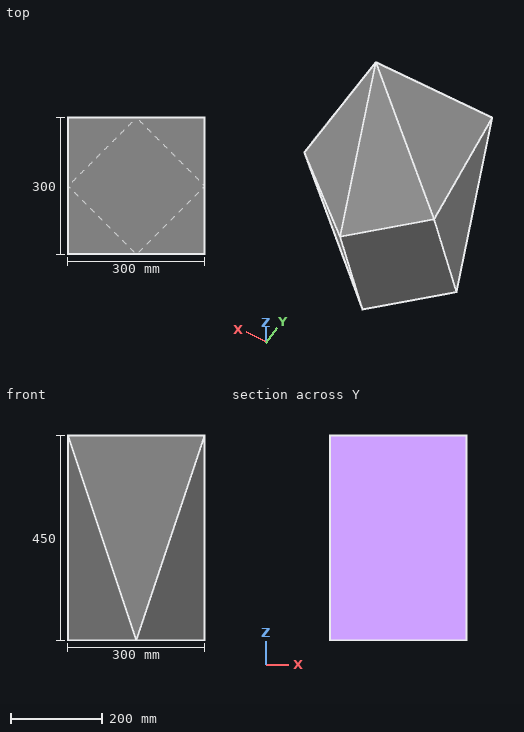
import cadquery as cq

height = 450.0
width = 300.0
half = width / 2

top_corners = [(-half, -half, height), (half, -half, height), (half, half, height), (-half, half, height)]
bottom_corners = [(0, -half, 0), (half, 0, 0), (0, half, 0), (-half, 0, 0)]


def flat_face(corners):
    """Return the planar face bounded by the given corners."""
    points = [cq.Vector(*corner) for corner in corners]
    return cq.Face.makeFromWires(cq.Wire.makePolygon(points, close=True))


faces = [flat_face(top_corners), flat_face(bottom_corners[::-1])]
corner_count = len(top_corners)
for i in range(corner_count):
    following = (i + 1) % corner_count
    faces.append(flat_face([top_corners[i], bottom_corners[i], top_corners[following]]))
    faces.append(flat_face([top_corners[following], bottom_corners[i], bottom_corners[following]]))

result = cq.Workplane(obj=cq.Solid.makeSolid(cq.Shell.makeShell(faces)))